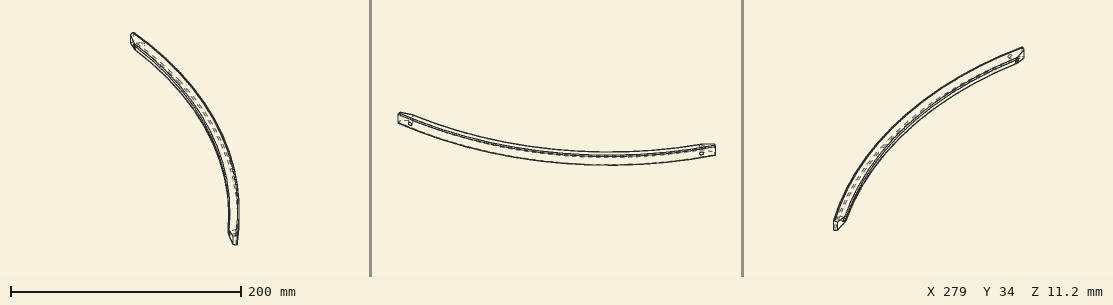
import cadquery as cq
import math

LENGTH = 279.0
RISE = 34.0
WIDTH = 11.2

THICKNESS = 9.1
INNER_FACE_WIDTH = 4.1
INNER_CHAMFER_DEPTH = 1.0
INNER_CHAMFER_WIDTH = 1.3
OUTER_CHAMFER_DEPTH = 1.4
OUTER_CHAMFER_WIDTH = 0.5

OUTER_RADIUS = 334.2
ARC_CENTER_Y = RISE - OUTER_RADIUS
HALF_ANGLE = math.degrees(math.asin(LENGTH / 2 / OUTER_RADIUS))

HOLE_SPACING = 256.0
HOLE_DIAMETER = 3.3


def cross_section():
    """Section of the bar at mid-length, on the YZ plane."""
    inner_y = RISE - THICKNESS
    half_inner = INNER_FACE_WIDTH / 2
    half_width = WIDTH / 2
    upper_half = [
        (inner_y, half_inner),
        (inner_y + INNER_CHAMFER_DEPTH, half_inner + INNER_CHAMFER_WIDTH),
        (RISE - OUTER_CHAMFER_DEPTH, half_width),
        (RISE, half_width - OUTER_CHAMFER_WIDTH),
    ]
    lower_half = [(y, -z) for y, z in reversed(upper_half)]
    return cq.Workplane("YZ").polyline(upper_half + lower_half).close()


def bowed_bar():
    """Section swept about the arc's centre, ending in radial faces at both tips."""
    axis_start = (ARC_CENTER_Y, 0)
    axis_end = (ARC_CENTER_Y, 1)
    bar = cross_section().revolve(2 * HALF_ANGLE, axis_start, axis_end)
    return bar.rotate((0, ARC_CENTER_Y, 0), (0, ARC_CENTER_Y, 1), -HALF_ANGLE)


def foot_cutter():
    """Block filling Y < 0, which trims both ends to flat mounting feet on Y = 0."""
    return cq.Workplane("XY").box(2 * LENGTH, RISE, 2 * WIDTH).translate((0, -RISE / 2, 0))


def screw_holes():
    """Pins along Y that run right through the bar above each foot."""
    hole_positions = [(side * HOLE_SPACING / 2, 0) for side in (-1, 1)]
    pins = cq.Workplane("XZ").pushPoints(hole_positions).circle(HOLE_DIAMETER / 2)
    return pins.extrude(-RISE)


result = bowed_bar().cut(foot_cutter()).cut(screw_holes())